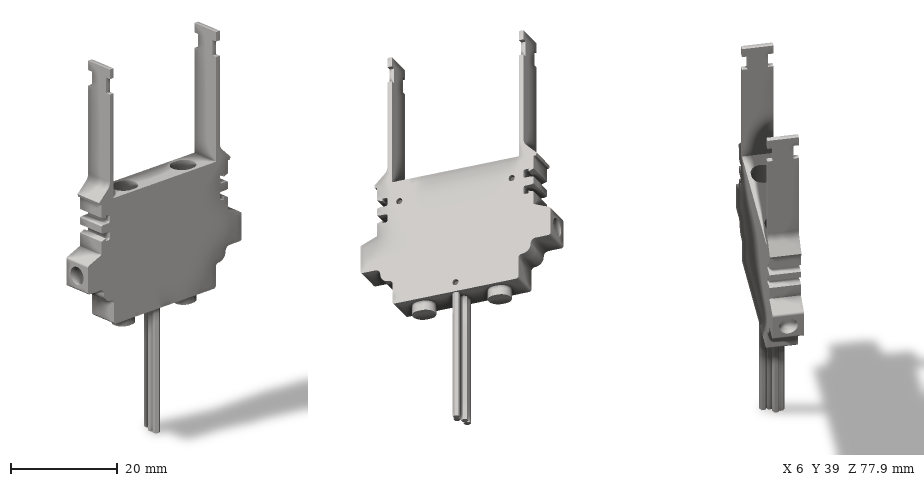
import cadquery as cq
import math

thickness = 6.0
half_length = 19.515
half_base = 12.9
half_upper = 16.05
deck_height = 25.6
top_height = 51.95
corner_round = 0.5

lug_bottom = 7.8
lug_shoulder = 13.55
lug_slope_top = 14.95

step_height = 5.0
step_top_blend = 1.0
step_base_blend = 0.7

arm_outer = 13.95
arm_inner = 13.0
arm_foot = 28.3
arm_blend = 1.9
barb_tip = 16.7
barb_root = 16.5
barb_underside = 25.1

notch_depth = 1.0
notch_drop = 1.95
notch_height = 3.1

rib_height = 20.0
rib_root = 0.85
rib_tip = 0.7
groove_lip = 2.0
groove_mouth = 2.4
groove_bulb = 2.6
groove_lip_y = 14.95
groove_bulb_round = 0.4
mouth_bevel = 0.5

well_spacing = 14.8
well_top_radius = 2.25
well_floor_radius = 1.2
well_straight_depth = 6.2
well_taper_depth = 1.1
stretch = 0.7

socket_radius = 1.8
socket_height = 10.75
socket_depth = 6.2

dimple_radius = 0.6
dimple_depth = 0.8
upper_dimple_y = 11.5
upper_dimple_height = 21.35
lower_dimple_height = 1.9

foot_spacing = 15.5
foot_radius = 1.95
foot_height = 1.95

wire_sides = 6
wire_width = 1.4
wire_length = 77.9 - top_height
wire_centers = [(-2.0, 0.2), (-1.0, 0.55), (0, -0.55), (1.25, -0.55)]


def stretched_circle(workplane, radius):
    """Circle of the given radius pulled apart along Y by the common stretch."""
    return workplane.slot2D(2 * radius + stretch, 2 * radius, 90)


def half_plate():
    """The +Y half of the housing and its arm, extruded across the thickness."""
    blend_z = lug_bottom - step_top_blend
    step_round = blend_z - step_height
    step_center_y = half_base + step_base_blend
    blend_y = step_center_y + step_round
    profile = (
        cq.Workplane("YZ")
        .moveTo(0, 0)
        .lineTo(half_base - corner_round, 0)
        .radiusArc((half_base, corner_round), -corner_round)
        .lineTo(half_base, step_height - step_base_blend)
        .radiusArc((half_base + step_base_blend, step_height), step_base_blend)
        .radiusArc((blend_y, blend_z), -step_round)
        .radiusArc((blend_y + step_top_blend, lug_bottom), step_top_blend)
        .lineTo(half_length - corner_round, lug_bottom)
        .radiusArc((half_length, lug_bottom + corner_round), -corner_round)
        .lineTo(half_length, lug_shoulder)
        .lineTo(half_upper, lug_slope_top)
        .lineTo(half_upper, barb_underside)
        .lineTo(barb_root, barb_underside)
        .lineTo(barb_tip, deck_height)
        .lineTo(arm_outer, arm_foot)
        .lineTo(arm_outer, top_height)
        .lineTo(arm_inner, top_height)
        .lineTo(arm_inner, deck_height)
        .lineTo(0, deck_height)
        .close()
    )
    plate = profile.extrude(thickness / 2, both=True)
    foot_edge = cq.selectors.BoxSelector(
        (-thickness, arm_outer - 0.1, arm_foot - 0.1), (thickness, arm_outer + 0.1, arm_foot + 0.1)
    )
    shoulder_edge = cq.selectors.BoxSelector(
        (-thickness, half_length - 0.1, lug_shoulder - 0.1),
        (thickness, half_length + 0.1, lug_shoulder + 0.1),
    )
    return plate.edges(foot_edge).fillet(arm_blend).edges(shoulder_edge).fillet(corner_round)


def groove(side):
    """One groove in the +Y side; side is +1 above the rib and -1 below it."""
    offsets = [
        (half_upper, rib_tip),
        (half_upper - mouth_bevel, rib_root),
        (arm_outer, rib_root),
        (arm_outer, groove_bulb),
        (groove_lip_y, groove_bulb),
        (groove_lip_y, groove_lip),
        (half_upper, groove_mouth),
    ]
    points = [(y, rib_height + side * offset) for y, offset in offsets]
    cutter = cq.Workplane("YZ").polyline(points).close().extrude(thickness, both=True)
    return cutter.faces("<Y").edges("|X").fillet(groove_bulb_round)


def arm_notches():
    """Cutters for both edges of the +Y arm."""
    notch = cq.Workplane("XY").box(2 * notch_depth, half_length, notch_height)
    notch_center = top_height - notch_drop - notch_height / 2
    cutters = notch.translate((thickness / 2, arm_outer, notch_center))
    return cutters.union(notch.translate((-thickness / 2, arm_outer, notch_center)))


def deck_well():
    """Well on the +Y half: straight walls, then a taper down to a smaller floor."""
    deck = cq.Workplane("XY", origin=(0, well_spacing / 2, deck_height))
    shaft = stretched_circle(deck, well_top_radius).extrude(-well_straight_depth)
    shaft_floor = deck.workplane(offset=-well_straight_depth)
    wall_angle = math.degrees(math.atan2(well_top_radius - well_floor_radius, well_taper_depth))
    taper = stretched_circle(shaft_floor, well_top_radius).extrude(-well_taper_depth, taper=wall_angle)
    return shaft.union(taper)


def end_socket():
    """Blind round hole in the +Y end."""
    socket = cq.Workplane("XZ", origin=(0, half_length, socket_height))
    return socket.circle(socket_radius).extrude(socket_depth)


def foot():
    """Stretched boss under the +Y half."""
    base = cq.Workplane("XY", origin=(0, foot_spacing / 2, 0))
    return stretched_circle(base, foot_radius).extrude(-foot_height)


def dimples():
    """Shallow round pockets in the -X face."""
    centers = [
        (-upper_dimple_y, upper_dimple_height),
        (upper_dimple_y, upper_dimple_height),
        (0, lower_dimple_height),
    ]
    face = cq.Workplane("YZ", origin=(-thickness / 2, 0, 0))
    return face.pushPoints(centers).circle(dimple_radius).extrude(dimple_depth)


def wires():
    """Straight wires hanging from the underside."""
    bundle = cq.Workplane("XY")
    for center in wire_centers:
        wire = cq.Workplane("XY").polygon(wire_sides, wire_width).extrude(-wire_length)
        bundle = bundle.union(wire.translate((*center, 0)))
    return bundle


half = half_plate()
for side in (1, -1):
    half = half.cut(groove(side))
half = half.cut(arm_notches()).cut(deck_well()).cut(end_socket()).union(foot())

result = half.union(half.mirror("XZ")).cut(dimples()).union(wires())